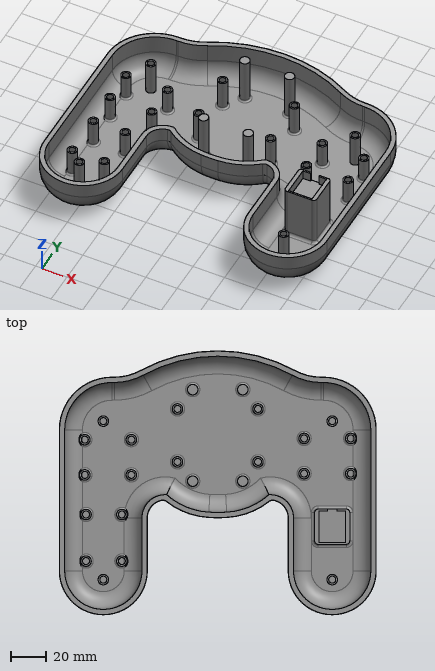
import cadquery as cq
import math

LENGTH = 180.0
DEPTH = 150.0
SHELL_HEIGHT = 25.0
WALL = 3.0
OUTER_EDGE_RADIUS = 16.0
INNER_EDGE_RADIUS = 10.0

LEG_WIDTH = 50.0
SHOULDER_RADIUS = 30.0
SHOULDER_Y = 105.0
VALLEY_X = 58.7
VALLEY_RADIUS = 31.1
NOTCH_Y = 55.0
NOTCH_RADIUS = 10.0
RIDGE_SLOPE = 18.0
BULGE_FLAT_RADIUS = 86.4
BULGE_FLAT_HALF_ANGLE = 3.5
BULGE_SIDE_RADIUS = 42.8
SEAM_RADIUS = 3.0
SEAM_REACH = 2.7

LEG_RADIUS = LEG_WIDTH / 2
LEG_X = LENGTH / 2 - LEG_RADIUS
LEG_INNER_X = LENGTH / 2 - LEG_WIDTH

POST_DIAMETER = 6.0
POST_BORE = 4.0
POST_FLARE = 1.0
PIN_TOP = 33.0
CENTER_POST_TOP = 23.0
SIDE_POST_TOP = 19.0
LEG_POST_TOP = 20.0
SCREW_POST_TOP = 24.0

CENTER_Y = 101.9
PIN_SPACING = (28.5, 52.0)
CENTER_POST_SPACING = (45.7, 30.0)
SIDE_POST_SPACING = (26.5, 20.0)
SIDE_POST_X = 62.3
LEFT_POST_Y = 89.5
RIGHT_POST_Y = 90.2
LEG_POST_SPACING = (20.3, 26.5)
LEG_POST_X = 64.6
LEG_POST_Y = 43.7
SCREW_POST_Y = (20.0, 110.0)

BOX_SIDE = 20.0
BOX_TOP = 36.5
BOX_Y = 50.0
BOX_CORNER_RADIUS = 2.0
BOX_FLARE = 1.8
POCKET_X = 15.0
POCKET_Y = 18.0
POCKET_DEPTH = 6.0
SLOT_WIDTH = 5.2


def point_on(center, radius, degrees):
    angle = math.radians(degrees)
    return center[0] + radius * math.cos(angle), center[1] + radius * math.sin(angle)


def draw_arcs(arcs, base_z):
    """Open wire through arcs (centre, radius, start, end); lines bridge arcs that do not touch."""
    position = point_on(*arcs[0][:3])
    wire = cq.Workplane("XY", origin=(0, 0, base_z)).moveTo(*position)
    for center, radius, start, end in arcs:
        first = point_on(center, radius, start)
        if math.dist(position, first) > 0.002:
            wire = wire.lineTo(*first)
        position = point_on(center, radius, end)
        wire = wire.threePointArc(point_on(center, radius, (start + end) / 2), position)
    return wire


def mirrored(arcs):
    """The same arcs reflected in the YZ plane and run in the opposite order."""
    return [((-c[0], c[1]), radius, 180 - end, 180 - start) for c, radius, start, end in reversed(arcs)]


def main_outline(base_z, inset):
    """Legs, shoulders and back edge; the notch runs in to a shallow ridge hidden in the bulge."""
    rise = DEPTH - SHOULDER_Y - SHOULDER_RADIUS
    radius_sum = (VALLEY_X**2 + rise**2) / (2 * rise)
    peak_radius = radius_sum - VALLEY_RADIUS
    slope = math.degrees(math.asin(VALLEY_X / radius_sum))
    right = [
        ((LEG_INNER_X - NOTCH_RADIUS, NOTCH_Y), NOTCH_RADIUS + inset, 90 + RIDGE_SLOPE, 0),
        ((LEG_X, LEG_RADIUS), LEG_RADIUS - inset, 180, 360),
        ((LENGTH / 2 - SHOULDER_RADIUS, SHOULDER_Y), SHOULDER_RADIUS - inset, 0, 90),
        ((VALLEY_X, DEPTH - rise + VALLEY_RADIUS), VALLEY_RADIUS + inset, 270, 270 - slope),
        ((0, DEPTH - peak_radius), peak_radius - inset, 90 - slope, 90),
    ]
    wire = draw_arcs(right + mirrored(right), base_z)
    ridge_side = point_on(*right[0][:3])
    ridge_y = ridge_side[1] - ridge_side[0] * math.tan(math.radians(RIDGE_SLOPE))
    return wire.lineTo(0, ridge_y).close()


def bulge_outline(base_z, inset):
    """Rounded front of the bulge between the legs, closed by a straight back inside the tray."""
    flat_center = (0, NOTCH_Y + BULGE_FLAT_RADIUS)
    flat_end = 270 + BULGE_FLAT_HALF_ANGLE
    side_center = point_on(flat_center, BULGE_FLAT_RADIUS - BULGE_SIDE_RADIUS, flat_end)
    right = [
        (flat_center, BULGE_FLAT_RADIUS - inset, 270, flat_end),
        (side_center, BULGE_SIDE_RADIUS - inset, flat_end, 360),
    ]
    return draw_arcs(mirrored(right) + right, base_z).close()


def rounded_prism(base_z, height, inset, edge_radius):
    """Solid of the plan outline moved inward by `inset`, with its bottom edge rounded."""
    main = main_outline(base_z, inset).extrude(height)
    main = main.faces("<Z").edges().fillet(edge_radius)
    bulge = bulge_outline(base_z, inset).extrude(height)
    bulge = bulge.faces("<Z").edges("not #Y").fillet(edge_radius)
    return main.union(bulge)


def seam_edges(side):
    """Edges where the bulge meets the notch corner on one side (-1 or 1), clear of both end faces."""
    x = side * (LEG_INNER_X - NOTCH_RADIUS)
    near_y = NOTCH_Y + NOTCH_RADIUS - SEAM_REACH
    far_y = NOTCH_Y + NOTCH_RADIUS + OUTER_EDGE_RADIUS / 2
    return cq.selectors.BoxSelector(
        (x - SEAM_REACH, near_y, SEAM_REACH / 2),
        (x + SEAM_REACH, far_y, SHELL_HEIGHT - SEAM_REACH),
    )


def make_shell():
    body = rounded_prism(0, SHELL_HEIGHT, 0, OUTER_EDGE_RADIUS)
    body = body.edges(seam_edges(-1) + seam_edges(1)).fillet(SEAM_RADIUS)
    return body.cut(rounded_prism(WALL, SHELL_HEIGHT, WALL, INNER_EDGE_RADIUS))


def grid(center, spacing):
    """Corners of a rectangle of the given spacing about its centre."""
    return [
        (center[0] + i * spacing[0] / 2, center[1] + j * spacing[1] / 2)
        for i in (-1, 1)
        for j in (-1, 1)
    ]


def make_post(top, flare=POST_FLARE, bore=POST_BORE):
    """A round post on the floor, with a rounded flare at its foot and a blind bore to the floor."""
    radius = POST_DIAMETER / 2
    post = cq.Workplane("XY", origin=(0, 0, WALL)).circle(radius).extrude(top - WALL)
    if flare:
        foot = cq.Workplane("XZ").moveTo(0, WALL).lineTo(radius + flare, WALL)
        foot = foot.radiusArc((radius, WALL + flare), flare)
        post = post.union(foot.lineTo(0, WALL + flare).close().revolve(360, (0, 0), (0, 1)))
    if bore:
        post = post.cut(cq.Workplane("XY", origin=(0, 0, WALL)).circle(bore / 2).extrude(top))
    return post


def add_box(tray):
    """Add a square box with a flared foot and a shallow pocket that opens through its back wall."""
    box = cq.Workplane("XY", origin=(LEG_X, BOX_Y, WALL)).rect(BOX_SIDE, BOX_SIDE)
    box = box.extrude(BOX_TOP - WALL).edges("|Z").fillet(BOX_CORNER_RADIUS)
    foot_reach = BOX_SIDE / 2 + BOX_FLARE / 2
    foot = cq.selectors.BoxSelector(
        (LEG_X - foot_reach, BOX_Y - foot_reach, WALL - BOX_FLARE / 2),
        (LEG_X + foot_reach, BOX_Y + foot_reach, WALL + BOX_FLARE / 2),
        boundingbox=True,
    )
    tray = tray.union(box).edges(foot).fillet(BOX_FLARE)
    pocket_floor = cq.Workplane("XY", origin=(LEG_X, BOX_Y, BOX_TOP - POCKET_DEPTH))
    pocket = pocket_floor.rect(POCKET_X, POCKET_Y).extrude(POCKET_DEPTH)
    slot = pocket_floor.center(0, BOX_SIDE / 2).rect(SLOT_WIDTH, BOX_SIDE).extrude(POCKET_DEPTH)
    return tray.cut(pocket).cut(slot)


def add_posts(tray, post, places):
    for x, y in places:
        tray = tray.union(post.translate((x, y, 0)))
    return tray


left_side_posts = grid((-SIDE_POST_X, LEFT_POST_Y), SIDE_POST_SPACING)
right_side_posts = grid((SIDE_POST_X, RIGHT_POST_Y), SIDE_POST_SPACING)
screw_posts = [(x, y) for x in (-LEG_X, LEG_X) for y in SCREW_POST_Y]

result = add_box(make_shell())
result = add_posts(result, make_post(PIN_TOP, bore=0), grid((0, CENTER_Y), PIN_SPACING))
result = add_posts(result, make_post(CENTER_POST_TOP), grid((0, CENTER_Y), CENTER_POST_SPACING))
result = add_posts(result, make_post(SIDE_POST_TOP), left_side_posts + right_side_posts)
result = add_posts(result, make_post(LEG_POST_TOP), grid((-LEG_POST_X, LEG_POST_Y), LEG_POST_SPACING))
result = add_posts(result, make_post(SCREW_POST_TOP, flare=0), screw_posts)